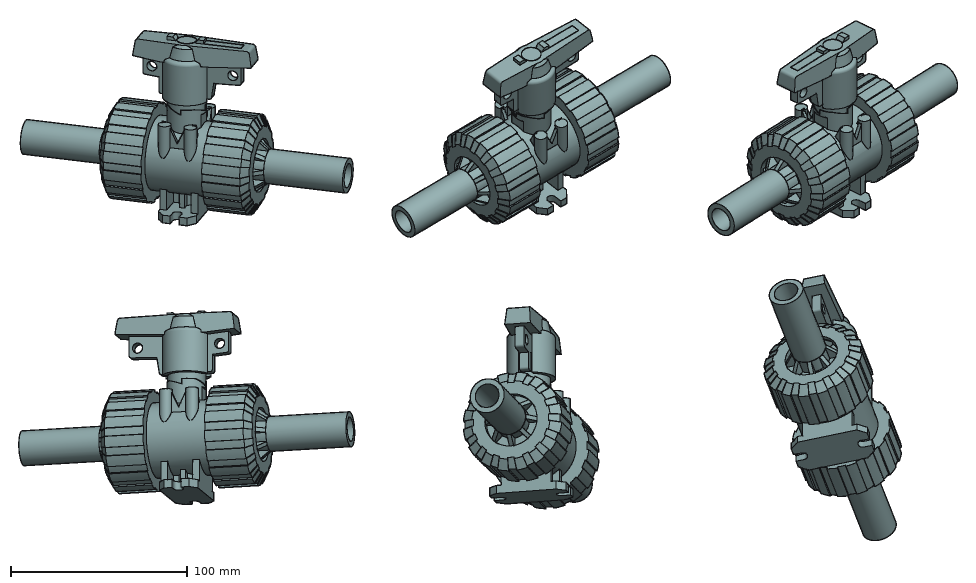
import cadquery as cq
import math


overall_length = 192.0
bore_radius = 7.0
pipe_radius = 10.0
body_radius = 21.5
body_end_x = 36.5

nut_inner_x = 18.0
nut_outer_x = 44.4
nut_chamfer_length = 3.6
nut_chamfer_drop = 6.0
nut_tip_radius = 29.0
nut_root_radius = 28.0
nut_tooth_count = 16
nut_tooth_angle = 12.9
nut_opening_radius = 15.4
nut_lip_x = 40.3

hub_outer_x = 49.0
hub_radius = 9.8
hub_rib_count = 8
hub_rib_width = 2.5
hub_rib_inner_radius = 8.6
hub_rib_slope = 0.8

neck_top_z = 49.0
neck_radius = 11.0
collar_radius = 11.3
collar_top_z = 32.6
collar_flat_x = 10.2
collar_flat_top_z = 28.6
cam_count = 4
cam_depth = 3.0
cam_length = 8.5

post_x = 7.7
post_y = 17.0
post_radius = 3.6
post_top_z = 25.2
post_web_thickness = 2.1
post_web_outer_y = 18.0
notch_bottom_z = 14.5
notch_slope = 2.1
brace_x = 9.2
brace_inner_y = 10.8
brace_outer_y = 14.4
brace_inner_z = 18.2

foot_bottom_z = -33.0
foot_top_z = -28.2
foot_half_x = 11.3
foot_half_y = 22.5
foot_chamfer_x = 4.0
foot_chamfer_y = 5.0
foot_slot_radius = 2.7
foot_slot_depth = 7.5
leg_width = 4.0
leg_half_y = 14.5
foot_column_radius = 4.5
foot_rib_width = 2.9
foot_rib_half_y = 8.6
foot_web_thickness = 3.8

skirt_radius = 13.8
skirt_bottom_z = 36.5
skirt_top_z = 60.0
skirt_slot_width = 7.9
shoulder_radius = 12.9
shoulder_top_z = 61.6
tower_base_z = 62.5
tower_base_radius = 11.3
tower_edge_radius = 9.8
tower_edge_z = 69.3
tower_top_radius = 8.3
bar_top_z = 71.0
bar_base_z = 59.5
bar_left_base_z = 60.9
bar_right_base_z = 61.5
bar_end_lean = 1.3
bar_end_land = 1.3
bar_left_x = -29.8
bar_right_x = 40.3
bar_left_half_y = 7.7
bar_middle_half_y = 9.2
bar_right_half_y = 7.0
bar_draft_angle = 6.0
bar_corner_radius = 2.0
web_thickness = 5.4
web_top_z = 61.5
web_left_x = -25.3
web_right_x = 33.2
web_bottom_z = 48.4
web_corner_radius = 1.3
lug_left_x = -15.7
lug_right_x = 16.9
lug_bottom_z = 37.6
lug_top_z = 47.6
lug_lean = 1.5
web_hole_radius = 2.9
web_hole_z = 53.8
web_hole_left_x = -20.0
web_hole_right_x = 28.2
cap_radius = 5.5
cap_height = 0.29
tab_outer_x = 11.0
tab_top_inner_x = 7.5
tab_base_inner_x = 5.8
tab_top_z = 73.2
marker_width = 5.4

ORIGIN = (0, 0, 0)
X_AXIS = (1, 0, 0)
Y_AXIS = (0, 1, 0)
Z_AXIS = (0, 0, 1)


def box_between(x_min, x_max, y_min, y_max, z_min, z_max):
    """Box given by its limits on each axis."""
    size = (x_max - x_min, y_max - y_min, z_max - z_min)
    return cq.Workplane("XY").box(*size, centered=False).translate((x_min, y_min, z_min))


def cylinder_x(radius, x_min, x_max):
    """Cylinder on the flow axis."""
    return cq.Workplane("YZ").workplane(offset=x_min).circle(radius).extrude(x_max - x_min)


def cylinder_z(radius, z_min, z_max, x=0.0, y=0.0):
    """Vertical cylinder at (x, y)."""
    return cq.Workplane("XY").workplane(offset=z_min).center(x, y).circle(radius).extrude(z_max - z_min)


def plate_xz(points, y_middle, thickness):
    """Upright plate with an outline in X and Z, centred on y_middle."""
    plate = cq.Workplane("XZ").polyline(points).close().extrude(thickness / 2, both=True)
    return plate.translate((0, y_middle, 0))


def flip_to_plus_x(part):
    """Copy of a part turned half a turn about Z, which swaps the -X and +X ends."""
    return part.rotate(ORIGIN, Z_AXIS, 180)


def make_neck():
    """Stem neck: plain top above a flatted collar with a ring of cam ramps."""
    collar = cylinder_z(collar_radius, 0, collar_top_z)
    flat_part = box_between(
        -collar_flat_x, collar_flat_x, -collar_radius, collar_radius, 0, collar_flat_top_z
    )
    round_part = cylinder_z(collar_radius, collar_flat_top_z, collar_top_z)
    collar = collar.intersect(flat_part).union(round_part)
    ramp_points = [(-cam_length, collar_top_z), (0, collar_top_z - cam_depth), (0, collar_top_z)]
    ramp = plate_xz(ramp_points, -collar_radius, collar_radius)
    for i in range(cam_count):
        collar = collar.cut(ramp.rotate(ORIGIN, Z_AXIS, i * 360 / cam_count))
    core = cylinder_z(neck_radius, collar_flat_top_z, neck_top_z)
    return collar.union(core)


def make_post_pair():
    """Two posts on the -Y side, the V-notched web between them and their braces."""
    notch_top_x = (post_top_z - notch_bottom_z) / notch_slope
    web_points = [
        (-post_x, 0),
        (post_x, 0),
        (post_x, post_top_z),
        (notch_top_x, post_top_z),
        (0, notch_bottom_z),
        (-notch_top_x, post_top_z),
        (-post_x, post_top_z),
    ]
    pair = plate_xz(web_points, -post_web_outer_y + post_web_thickness / 2, post_web_thickness)
    brace_outer_z = brace_inner_z + notch_slope * (brace_outer_y - brace_inner_y)
    brace_points = [
        (-brace_inner_y, 0),
        (-brace_inner_y, brace_inner_z),
        (-brace_outer_y, brace_outer_z),
        (-brace_outer_y, 0),
    ]
    brace = cq.Workplane("YZ").polyline(brace_points).close().extrude(post_web_thickness / 2, both=True)
    for side in (-1, 1):
        pair = pair.union(cylinder_z(post_radius, 0, post_top_z, side * post_x, -post_y))
        pair = pair.union(brace.translate((side * brace_x, 0, 0)))
    return pair


def make_foot():
    """Slotted foot plate with its legs, column, rib and web up to the body."""
    inner_x = foot_half_x - foot_chamfer_x
    inner_y = foot_half_y - foot_chamfer_y
    plate_points = [
        (-foot_half_x, -inner_y),
        (-inner_x, -foot_half_y),
        (inner_x, -foot_half_y),
        (foot_half_x, -inner_y),
        (foot_half_x, inner_y),
        (inner_x, foot_half_y),
        (-inner_x, foot_half_y),
        (-foot_half_x, inner_y),
    ]
    foot = cq.Workplane("XY").workplane(offset=foot_bottom_z).polyline(plate_points).close()
    foot = foot.extrude(foot_top_z - foot_bottom_z)
    slot_center_y = foot_half_y - foot_slot_depth + foot_slot_radius
    slot = cylinder_z(foot_slot_radius, foot_bottom_z, foot_top_z, 0, slot_center_y)
    mouth = box_between(
        -foot_slot_radius, foot_slot_radius, slot_center_y, foot_half_y, foot_bottom_z, foot_top_z
    )
    slot = slot.union(mouth)
    foot = foot.cut(slot).cut(flip_to_plus_x(slot))
    leg = box_between(-foot_half_x, leg_width - foot_half_x, -leg_half_y, leg_half_y, foot_top_z, 0)
    half_rib = foot_rib_width / 2
    half_web = foot_web_thickness / 2
    rib = box_between(-half_rib, half_rib, -foot_rib_half_y, foot_rib_half_y, foot_top_z, 0)
    web = box_between(-foot_half_x, foot_half_x, -half_web, half_web, foot_top_z, 0)
    column = cylinder_z(foot_column_radius, foot_top_z, 0)
    for piece in (leg, flip_to_plus_x(leg), rib, web, column):
        foot = foot.union(piece)
    return foot


def make_valve_body():
    """Round body with its neck, posts and foot, bored through along X."""
    body = cylinder_x(body_radius, -body_end_x, body_end_x)
    posts = make_post_pair()
    for piece in (make_neck(), posts, flip_to_plus_x(posts), make_foot()):
        body = body.union(piece)
    return body.cut(cylinder_x(bore_radius, -body_end_x, body_end_x))


def nut_profile(outer_radius):
    """Half section of a chamfered nut blank with the given outer radius."""
    chamfer_x = nut_chamfer_length - nut_outer_x
    points = [
        (-nut_outer_x, 0),
        (-nut_outer_x, outer_radius - nut_chamfer_drop),
        (chamfer_x, outer_radius),
        (-nut_inner_x, outer_radius),
        (-nut_inner_x, 0),
    ]
    return cq.Workplane("XY").polyline(points).close()


def make_nut():
    """Toothed nut with a lip at its outer end, bored to fit the body."""
    nut = nut_profile(nut_root_radius).revolve(360, ORIGIN, X_AXIS)
    tooth = nut_profile(nut_tip_radius).revolve(nut_tooth_angle, ORIGIN, X_AXIS)
    tooth_pitch = 360 / nut_tooth_count
    first_angle = (tooth_pitch - nut_tooth_angle) / 2
    for i in range(nut_tooth_count):
        nut = nut.union(tooth.rotate(ORIGIN, X_AXIS, first_angle + i * tooth_pitch))
    nut = nut.cut(cylinder_x(nut_opening_radius, -nut_outer_x, -nut_lip_x))
    return nut.cut(cylinder_x(body_radius, -nut_lip_x, -nut_inner_x))


def make_tail():
    """Pipe with a ribbed hub and a flange held between the nut lip and the body."""
    tail = cylinder_x(pipe_radius, -overall_length / 2, -hub_outer_x)
    tail = tail.union(cylinder_x(hub_radius, -hub_outer_x, -nut_lip_x))
    tail = tail.union(cylinder_x(body_radius, -nut_lip_x, -body_end_x))
    rib_top_x = (nut_opening_radius - pipe_radius) / hub_rib_slope - hub_outer_x
    rib_points = [
        (-hub_outer_x, hub_rib_inner_radius),
        (-hub_outer_x, pipe_radius),
        (rib_top_x, nut_opening_radius),
        (-nut_lip_x, nut_opening_radius),
        (-nut_lip_x, hub_rib_inner_radius),
    ]
    rib = plate_xz(rib_points, 0, hub_rib_width)
    rib = rib.intersect(cylinder_x(nut_opening_radius, -hub_outer_x, -nut_lip_x))
    for i in range(hub_rib_count):
        tail = tail.union(rib.rotate(ORIGIN, X_AXIS, i * 360 / hub_rib_count))
    return tail.cut(cylinder_x(bore_radius, -overall_length / 2, -body_end_x))


def make_grip_column():
    """Round skirt with a rounded shoulder and a tapered tower."""
    section = (
        cq.Workplane("XZ")
        .moveTo(0, skirt_bottom_z)
        .lineTo(skirt_radius, skirt_bottom_z)
        .lineTo(skirt_radius, skirt_top_z)
        .tangentArcPoint((shoulder_radius, shoulder_top_z), relative=False)
        .lineTo(tower_base_radius, tower_base_z)
        .lineTo(tower_edge_radius, tower_edge_z)
        .lineTo(tower_top_radius, bar_top_z)
        .lineTo(0, bar_top_z)
        .close()
    )
    return section.revolve(360, ORIGIN, Y_AXIS)


def make_bar():
    """Lever bar: rounded side outline, plan tapering to both ends, drafted sides."""
    side_points = [
        (bar_left_x, bar_left_base_z + bar_end_land),
        (bar_left_x, bar_left_base_z),
        (-skirt_radius, bar_base_z),
        (skirt_radius, bar_base_z),
        (bar_right_x, bar_right_base_z),
        (bar_right_x, bar_right_base_z + bar_end_land),
        (bar_right_x - bar_end_lean, bar_top_z),
        (bar_left_x + bar_end_lean, bar_top_z),
    ]
    side = plate_xz(side_points, 0, 4 * bar_middle_half_y)
    side = side.edges("|Y and >Z").fillet(bar_corner_radius)
    height = bar_top_z - bar_base_z
    overhang = height * math.tan(math.radians(bar_draft_angle))
    plan_points = [
        (bar_left_x - overhang, -bar_left_half_y),
        (0, -bar_middle_half_y),
        (bar_right_x + overhang, -bar_right_half_y),
        (bar_right_x + overhang, bar_right_half_y),
        (0, bar_middle_half_y),
        (bar_left_x - overhang, bar_left_half_y),
    ]
    plan = cq.Workplane("XY").workplane(offset=bar_base_z).polyline(plan_points).close()
    plan = plan.extrude(height, taper=bar_draft_angle)
    return plan.intersect(side)


def make_handle_web():
    """Flat web under the bar, with a lug down each side of the neck and two holes."""
    points = [
        (web_left_x, web_top_z),
        (web_left_x, web_bottom_z),
        (lug_left_x, lug_top_z),
        (lug_left_x, lug_bottom_z),
        (lug_right_x - lug_lean, lug_bottom_z),
        (lug_right_x, lug_top_z),
        (web_right_x, web_bottom_z),
        (web_right_x, web_top_z),
    ]
    web = plate_xz(points, 0, web_thickness)
    web = web.edges("|Y").edges("<X or >X").edges("<Z").fillet(web_corner_radius)
    web = web.faces("<Z").edges("|Y").fillet(web_corner_radius)
    for hole_x in (web_hole_left_x, web_hole_right_x):
        hole = cq.Workplane("XZ").center(hole_x, web_hole_z).circle(web_hole_radius)
        web = web.cut(hole.extrude(web_thickness / 2, both=True))
    return web.cut(cylinder_z(neck_radius, skirt_bottom_z, neck_top_z))


def make_tab():
    """Raised pointer beside the round cap, on the +X side."""
    points = [
        (tab_base_inner_x, bar_top_z),
        (tab_top_inner_x, tab_top_z),
        (tab_outer_x, tab_top_z),
        (tab_outer_x, bar_top_z),
    ]
    return plate_xz(points, 0, marker_width)


def make_handle():
    """Hollow grip column, slotted along X for the web, under the lever bar and its markers."""
    handle = make_grip_column()
    handle = handle.cut(cylinder_z(neck_radius, skirt_bottom_z, bar_base_z))
    half_slot = skirt_slot_width / 2
    slot = box_between(-skirt_radius, skirt_radius, -half_slot, half_slot, skirt_bottom_z, bar_base_z)
    handle = handle.cut(slot)
    half_marker = marker_width / 2
    cap_top_z = bar_top_z + cap_height
    marker = box_between(tab_outer_x, web_right_x, -half_marker, half_marker, bar_top_z, cap_top_z)
    cap = cylinder_z(cap_radius, bar_top_z, cap_top_z)
    tab = make_tab()
    for piece in (make_bar(), make_handle_web(), cap, tab, flip_to_plus_x(tab), marker):
        handle = handle.union(piece)
    return handle


valve_body = make_valve_body()
nut = make_nut()
tail = make_tail()
handle = make_handle()
union_nuts = [nut, flip_to_plus_x(nut)]
pipe_tails = [tail, flip_to_plus_x(tail)]

bodies = [valve_body, *union_nuts, *pipe_tails, handle]
result = cq.Compound.makeCompound([body.val() for body in bodies])